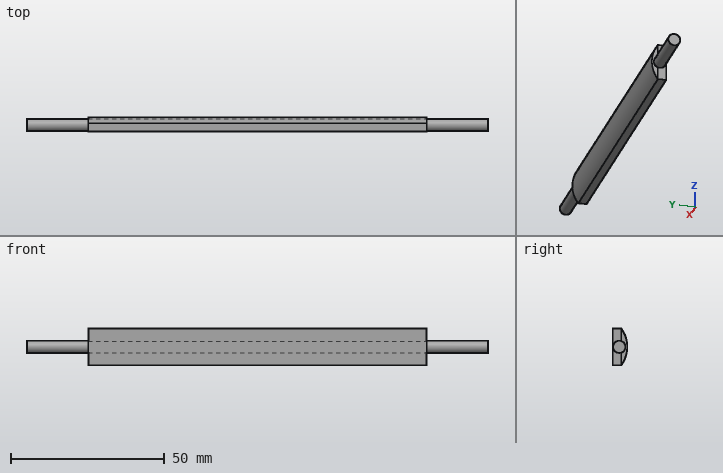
import cadquery as cq

bar_length = 110.0
bar_height = 12.0
bar_thickness = 2.8
rod_length = 149.97
rod_diameter = 4.0
rod_axis_depth = 2.15

total_thickness = 4.8

back_y = -total_thickness / 2
joint_y = back_y + bar_thickness
crown_y = back_y + total_thickness
rod_axis_y = back_y + rod_axis_depth


def make_rod_shape():
    """Full-length cylinder along X, centred in length."""
    section = cq.Workplane("YZ").center(rod_axis_y, 0).circle(rod_diameter / 2)
    return section.extrude(rod_length / 2, both=True)


def make_bar_with_rod():
    """Rectangular bar and rod as one solid; the rod bulges out of the +Y face."""
    bar = cq.Workplane("XY").box(bar_length, bar_thickness, bar_height)
    bar = bar.translate((0, (back_y + joint_y) / 2, 0))
    return bar.union(make_rod_shape())


def make_cap():
    """Circular-segment strip with a groove in its flat face for the bulging rod."""
    half_height = bar_height / 2
    segment = (
        cq.Workplane("YZ")
        .moveTo(joint_y, half_height)
        .threePointArc((crown_y, 0), (joint_y, -half_height))
        .close()
    )
    return segment.extrude(bar_length / 2, both=True).cut(make_rod_shape())


bar_with_rod = make_bar_with_rod().solids()
cap = make_cap().solids()

result = cq.Compound.makeCompound([bar_with_rod.val(), cap.val()])